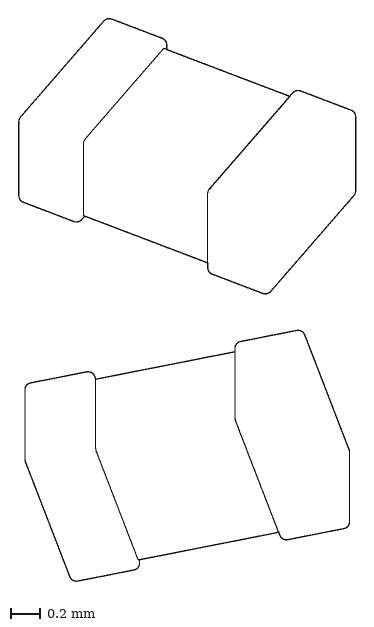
import cadquery as cq

length = 2.0
width = 1.25
height = 0.78
cap_length = length / 4
cap_radius = 0.05

body_ratio = 0.9
body_width = body_ratio * width
body_height = body_ratio * height
body_radius = cap_radius / 2


def make_cap(direction):
    """Fully rounded end cap; direction is -1 or +1 along X."""
    center_x = direction * (length - cap_length) / 2
    cap = cq.Workplane("XY").box(cap_length, width, height)
    return cap.edges().fillet(cap_radius).translate((center_x, 0, 0))


def make_body():
    """Bar with rounded long edges, reaching to the middle of each cap."""
    body = cq.Workplane("XY").box(length - cap_length, body_width, body_height)
    return body.edges("|X").fillet(body_radius)


result = make_body()
for end in (-1, 1):
    result = result.union(make_cap(end))